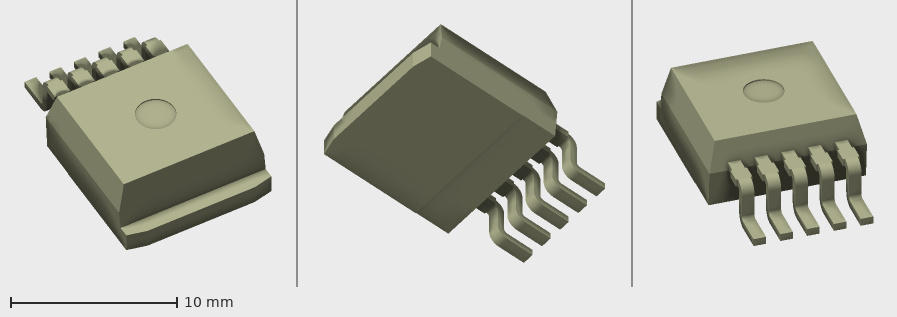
import cadquery as cq

LENGTH = 15.0
WIDTH = 10.0
HEIGHT = 4.42
TIP_X = -LENGTH / 2
TAB_END_X = LENGTH / 2

STANDOFF = 0.05
PARTING_Z = 2.45
BODY_FRONT_X = -2.75
FRONT_DRAFT_LOWER = 0.18
FRONT_DRAFT_UPPER = 0.5
SIDE_DRAFT_UPPER = 0.5
BODY_TOP_BACK_X = 6.0
BODY_BACK_X = 6.5

MARK_DIAMETER = 2.5
MARK_DEPTH = 0.1
MARK_X = (BODY_FRONT_X + FRONT_DRAFT_UPPER + BODY_TOP_BACK_X) / 2

TAB_THICKNESS = 1.3
TAB_START_X = 0.0
TAB_CORNER_LENGTH = 0.3
TAB_CORNER_WIDTH = 1.3

LEAD_COUNT = 5
LEAD_PITCH = 1.7
LEAD_WIDTH = 0.8
LEAD_THICKNESS = 0.5
LEAD_RISER_X = -5.28
BEND_INNER_RADIUS = 0.25
BEND_OUTER_RADIUS = BEND_INNER_RADIUS + LEAD_THICKNESS
LEAD_EMBED = 0.75
SHOULDER_WIDTH = 1.05
SHOULDER_START_X = LEAD_RISER_X + BEND_OUTER_RADIUS
SHOULDER_LENGTH = 1.03


def extrude_across(outline, width):
    """Extrude an XZ outline symmetrically about Y = 0."""
    return outline.extrude(width / 2, both=True)


def make_body():
    """Body with a parting line, drafted front, upper sides and back."""
    front_bottom_x = BODY_FRONT_X + FRONT_DRAFT_LOWER
    front_top_x = BODY_FRONT_X + FRONT_DRAFT_UPPER
    outline = (
        cq.Workplane("XZ")
        .moveTo(front_bottom_x, STANDOFF)
        .lineTo(BODY_BACK_X, STANDOFF)
        .lineTo(BODY_BACK_X, TAB_THICKNESS)
        .lineTo(BODY_TOP_BACK_X, HEIGHT)
        .lineTo(front_top_x, HEIGHT)
        .lineTo(BODY_FRONT_X, PARTING_Z)
        .close()
    )
    half_width = WIDTH / 2
    half_top = half_width - SIDE_DRAFT_UPPER
    cross_section = (
        cq.Workplane("YZ", origin=(TIP_X, 0, 0))
        .moveTo(-half_width, 0)
        .lineTo(half_width, 0)
        .lineTo(half_width, PARTING_Z)
        .lineTo(half_top, HEIGHT)
        .lineTo(-half_top, HEIGHT)
        .lineTo(-half_width, PARTING_Z)
        .close()
        .extrude(LENGTH)
    )
    return extrude_across(outline, WIDTH).intersect(cross_section)


def make_mark():
    """Shallow round recess cut from the top face."""
    floor = cq.Workplane("XY", origin=(MARK_X, 0, HEIGHT - MARK_DEPTH))
    return floor.circle(MARK_DIAMETER / 2).extrude(MARK_DEPTH)


def make_tab():
    """Heat-sink plate under the body with tapered outer corners."""
    half_width = WIDTH / 2
    corner_x = TAB_END_X - TAB_CORNER_LENGTH
    half_end = half_width - TAB_CORNER_WIDTH
    return (
        cq.Workplane("XY")
        .moveTo(TAB_START_X, -half_width)
        .lineTo(corner_x, -half_width)
        .lineTo(TAB_END_X, -half_end)
        .lineTo(TAB_END_X, half_end)
        .lineTo(corner_x, half_width)
        .lineTo(TAB_START_X, half_width)
        .close()
        .extrude(TAB_THICKNESS)
    )


def make_lead():
    """Gull-wing lead on Y = 0 with a wider shoulder behind the upper bend."""
    inner = BEND_INNER_RADIUS
    outer = BEND_OUTER_RADIUS
    riser_front_x = LEAD_RISER_X
    riser_back_x = LEAD_RISER_X + LEAD_THICKNESS
    arm_bottom_z = PARTING_Z
    arm_top_z = PARTING_Z + LEAD_THICKNESS
    arm_end_x = BODY_FRONT_X + LEAD_EMBED
    strip = extrude_across(
        cq.Workplane("XZ")
        .moveTo(TIP_X, 0)
        .lineTo(riser_back_x - outer, 0)
        .radiusArc((riser_back_x, outer), -outer)
        .lineTo(riser_back_x, arm_bottom_z - inner)
        .radiusArc((riser_back_x + inner, arm_bottom_z), inner)
        .lineTo(arm_end_x, arm_bottom_z)
        .lineTo(arm_end_x, arm_top_z)
        .lineTo(riser_front_x + outer, arm_top_z)
        .radiusArc((riser_front_x, arm_top_z - outer), -outer)
        .lineTo(riser_front_x, LEAD_THICKNESS + inner)
        .radiusArc((riser_front_x - inner, LEAD_THICKNESS), inner)
        .lineTo(TIP_X, LEAD_THICKNESS)
        .close(),
        LEAD_WIDTH,
    )
    shoulder = cq.Workplane("XY").box(
        SHOULDER_LENGTH, SHOULDER_WIDTH, LEAD_THICKNESS, centered=(False, True, False)
    )
    return strip.union(shoulder.translate((SHOULDER_START_X, 0, arm_bottom_z)))


result = make_body().union(make_tab()).cut(make_mark())
lead = make_lead()
for index in range(LEAD_COUNT):
    lead_y = (index - (LEAD_COUNT - 1) / 2) * LEAD_PITCH
    result = result.union(lead.translate((0, lead_y, 0)))